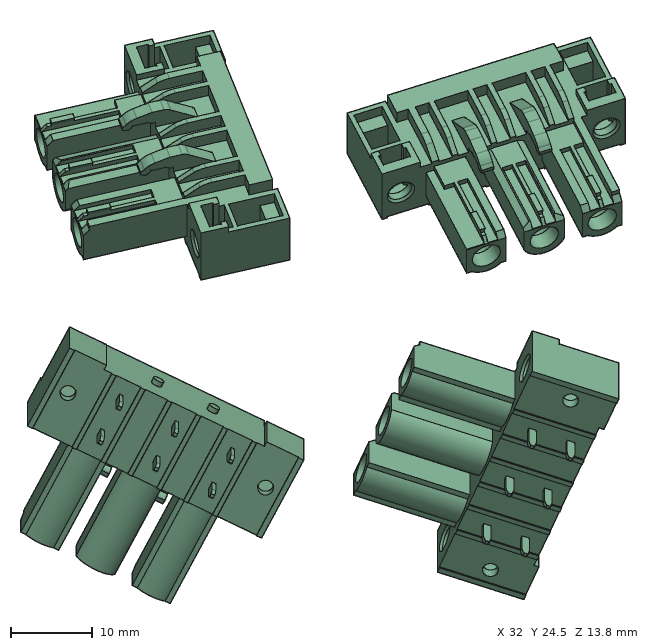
import cadquery as cq


pitch = 7.63
contact_xs = [-pitch, 0, pitch]
left_x, middle_x, right_x = contact_xs
axis_z = 4.05
overall_width = 32.05
half_width = overall_width / 2

block_half = 10.95
block_rear = 10.7
underside = 0.22
deck_z = 7.7
block_top = 9.5
bay_rear = 7.7
rib_inner = 0.9
rib_width = 0.7
first_rib_extra = 0.22
rib_flat_front = 3.45
rib_knee_y = 1.95
rib_knee_z = 9.15
rib_front_z = 7.98
rib_bulge = 0.08

lever_xs = [-pitch / 2, pitch / 2]
lever_width = 1.65
lever_top = 10.48
lever_root_y = 5.4
lever_shoulder = (1.95, 10.12)
lever_shoulder_bulge = (1.57, 10.35)
lever_crest_rear_y = 1.1
lever_crest_front_y = -0.45
lever_slope_end = (-2.37, 10.03)
lever_nose_bulge = (-3.1, 9.75)
lever_nose_end = (-3.75, 9.25)
lever_tip_y = -4.2
lever_tip_top = 8.88
lever_tip_bottom = 8.4
lever_hook = (-3.6, 8.17)
lever_hook_bulge = (-3.2, 8.4)
lever_hollow_z = 8.78
lever_hollow_front_y = -2.9
lever_hollow_rear_y = -1.05
lever_throat_bulge = (-0.55, 8.52)
lever_throat_z = 8.4

stud_diameter = 1.38
stud_z = axis_z

ear_centre = 13.52
ear_rear = 11.35
ear_raised_top = 8.65
ear_raised_depth = 3.55
cell_half = 1.85
cell_front = 4.87
cell_rear = block_rear
cell_floor = 1.6
shelf_front = 8.88
shelf_z = 6.1
drain_diameter = 1.92
drain_y = 6.0
nut_half = 1.8
nut_front = 1.3
nut_rear = 2.82
neck_half = 1.5
slot_rear = 4.33
screw_diameter = 3.05
screw_mouth = 3.6
screw_chamfer = 0.32

ear_foot_width = 0.7
foot_width = 0.6
foot_offset = 2.0

post_length = 13.2
side_post_half = 2.6
middle_post_half = 2.65
post_radius = 2.9
side_post_bottom = 1.83
pocket_floor = 6.35
post_top = 7.05
post_end_chamfer = 0.77
chamfer_flat_half = 1.73
chamfer_low_z = 6.63
pocket_start = 3.33
pocket_half = 1.55
rail_half = 0.24
coding_wall_top = deck_z
key_start = 9.0
key_end = 11.92
key_neck_z = 7.25
key_half = 0.37
bore_radius = 1.85
bore_tip_radius = 0.9
bore_straight = 2.15
bore_cone = 1.92

pin_thickness = 0.48
pin_width = 1.0
pin_tip_width = 0.42
pin_tip_z = -3.27
pin_taper_z = -2.3
pin_taper_bulge = 0.08
pin_ys = [3.2, 8.25]


def box(x0, x1, y0, y1, z0, z1):
    """A box between opposite corners."""
    return cq.Workplane("XY").box(x1 - x0, y1 - y0, z1 - z0, centered=False).translate((x0, y0, z0))


def side_plane(x):
    """A sketch plane facing +X at the given X, with coordinates (Y, Z)."""
    return cq.Workplane("YZ", origin=(x, 0, 0))


def front_plane(y):
    """A sketch plane facing -Y at the given Y, with coordinates (X, Z)."""
    return cq.Workplane("XZ", origin=(0, y, 0))


def rib(x0, x1):
    """A deck rib whose top curves and then slopes down to the front face."""
    middle_y = (rib_flat_front + rib_knee_y) / 2
    middle_z = (block_top + rib_knee_z) / 2 + rib_bulge
    return (
        side_plane(x0)
        .moveTo(0, deck_z)
        .lineTo(0, rib_front_z)
        .lineTo(rib_knee_y, rib_knee_z)
        .threePointArc((middle_y, middle_z), (rib_flat_front, block_top))
        .lineTo(bay_rear, block_top)
        .lineTo(bay_rear, deck_z)
        .close()
        .extrude(x1 - x0)
    )


def central_block():
    """The body behind the posts: a deck, a raised rear bar and a pair of ribs over each contact."""
    block = box(-block_half, block_half, 0, block_rear, underside, deck_z)
    block = block.union(box(-block_half, block_half, bay_rear, block_rear, deck_z, block_top))
    rib_outer = rib_inner + rib_width
    for x in contact_xs:
        extra = first_rib_extra if x == left_x else 0
        block = block.union(rib(x - rib_outer - extra, x - rib_inner))
        block = block.union(rib(x + rib_inner, x + rib_outer))
    return block


def lever(x):
    """A latch lever that rises from the deck, arches over the front face and ends in a hooked nose."""
    return (
        side_plane(x - lever_width / 2)
        .moveTo(0, deck_z)
        .lineTo(lever_root_y, deck_z)
        .lineTo(*lever_shoulder)
        .threePointArc(lever_shoulder_bulge, (lever_crest_rear_y, lever_top))
        .lineTo(lever_crest_front_y, lever_top)
        .lineTo(*lever_slope_end)
        .threePointArc(lever_nose_bulge, lever_nose_end)
        .lineTo(lever_tip_y, lever_tip_top)
        .lineTo(lever_tip_y, lever_tip_bottom)
        .lineTo(*lever_hook)
        .threePointArc(lever_hook_bulge, (lever_hollow_front_y, lever_hollow_z))
        .lineTo(lever_hollow_rear_y, lever_hollow_z)
        .threePointArc(lever_throat_bulge, (0, lever_throat_z))
        .close()
        .extrude(lever_width)
    )


def rear_stud(x):
    """A round stud on the rear face of the central block, level with the rear of the ears."""
    return front_plane(block_rear).center(x, stud_z).circle(stud_diameter / 2).extrude(block_rear - ear_rear)


def ear(side):
    """A mounting ear on the left (side = -1) or right (side = 1), with its cell, nut slot and holes."""
    centre = side * ear_centre
    x0, x1 = sorted((side * block_half, side * half_width))
    body = box(x0, x1, 0, ear_rear, underside, deck_z)
    body = body.union(box(x0, x1, 0, ear_raised_depth, deck_z, ear_raised_top))

    body = body.cut(box(centre - cell_half, centre + cell_half, cell_front, cell_rear, shelf_z, deck_z))
    body = body.cut(box(centre - cell_half, centre + cell_half, cell_front, shelf_front, cell_floor, deck_z))
    drain = cq.Workplane("XY").center(centre, drain_y).circle(drain_diameter / 2).extrude(deck_z)
    body = body.cut(drain)

    for half, y0, y1 in (
        (nut_half, nut_front, nut_rear),
        (neck_half, nut_rear, ear_raised_depth),
        (cell_half, ear_raised_depth, slot_rear),
    ):
        body = body.cut(box(centre - half, centre + half, y0, y1, cell_floor, ear_raised_top))

    screw_hole = front_plane(0).center(centre, axis_z).circle(screw_diameter / 2).extrude(-slot_rear)
    mouth = (
        front_plane(0)
        .center(centre, axis_z)
        .circle(screw_mouth / 2)
        .workplane(offset=-screw_chamfer)
        .circle(screw_diameter / 2)
        .loft()
    )
    return body.cut(screw_hole).cut(mouth)


def feet():
    """The ridges under the housing: one along each outer edge and a pair under each contact."""
    ridges = box(-half_width, ear_foot_width - half_width, 0, ear_rear, 0, underside)
    ridges = ridges.union(box(half_width - ear_foot_width, half_width, 0, ear_rear, 0, underside))
    for contact_x in contact_xs:
        for x in (contact_x - foot_offset, contact_x + foot_offset):
            ridges = ridges.union(box(x - foot_width / 2, x + foot_width / 2, 0, block_rear, 0, underside))
    return ridges


def post_body(x, half, bottom):
    """The straight post with its rounded belly and its chamfered upper front edge."""
    barrel = front_plane(0).center(x, axis_z).circle(post_radius).extrude(post_length)
    belly = box(x - half, x + half, -post_length, 0, axis_z - post_radius, axis_z)
    body = barrel.intersect(belly)
    upper = (
        side_plane(x - half)
        .moveTo(0, bottom)
        .lineTo(0, post_top)
        .lineTo(post_end_chamfer - post_length, post_top)
        .lineTo(-post_length, post_top - post_end_chamfer)
        .lineTo(-post_length, bottom)
        .close()
        .extrude(2 * half)
    )
    return body.union(upper)


def post_pockets(x):
    """The two open pockets in the top of a post, one on each side of its centre rail."""
    left = box(x - pocket_half, x - rail_half, -post_length, -pocket_start, pocket_floor, post_top)
    right = box(x + rail_half, x + pocket_half, -post_length, -pocket_start, pocket_floor, post_top)
    return left.union(right)


def rail_key(x):
    """The flared key standing on the centre rail of a post."""
    return (
        front_plane(-key_start)
        .moveTo(x - rail_half, post_top)
        .lineTo(x - rail_half, key_neck_z)
        .lineTo(x - key_half, deck_z)
        .lineTo(x + key_half, deck_z)
        .lineTo(x + rail_half, key_neck_z)
        .lineTo(x + rail_half, post_top)
        .close()
        .extrude(key_end - key_start)
    )


def contact_bore(x):
    """The blind contact bore: a cylinder that ends in a truncated cone."""
    cylinder = front_plane(-post_length).center(x, axis_z).circle(bore_radius).extrude(-bore_straight)
    cone = (
        front_plane(bore_straight - post_length)
        .center(x, axis_z)
        .circle(bore_radius)
        .workplane(offset=-bore_cone)
        .circle(bore_tip_radius)
        .loft()
    )
    return cylinder.union(cone)


def finished_post(body, x):
    """Cuts the pockets and the bore into a post and adds its key."""
    return body.cut(post_pockets(x)).union(rail_key(x)).cut(contact_bore(x))


def left_post():
    """A side post whose outer upper corner is lowered to the pocket floor."""
    body = post_body(left_x, side_post_half, side_post_bottom)
    outer = left_x - side_post_half
    body = body.cut(box(outer, left_x - pocket_half, -post_length, 0, pocket_floor, post_top))
    return finished_post(body, left_x)


def middle_post():
    """The middle post: round-bottomed, with both upper side edges chamfered."""
    body = post_body(middle_x, middle_post_half, axis_z)
    for side in (-1, 1):
        edge = middle_x + side * middle_post_half
        corner = (
            front_plane(0)
            .moveTo(edge, chamfer_low_z)
            .lineTo(edge, post_top)
            .lineTo(middle_x + side * chamfer_flat_half, post_top)
            .close()
            .extrude(post_length)
        )
        body = body.cut(corner)
    return finished_post(body, middle_x)


def right_post():
    """A side post with a tall coding wall along its outer edge."""
    body = post_body(right_x, side_post_half, side_post_bottom)
    outer = right_x + side_post_half
    wall_front = post_end_chamfer - post_length
    body = body.union(box(right_x + pocket_half, outer, wall_front, 0, post_top, coding_wall_top))
    return finished_post(body, right_x)


def make_housing():
    """The one-piece moulded housing."""
    body = central_block().union(ear(-1)).union(ear(1)).union(feet())
    for x in lever_xs:
        body = body.union(lever(x)).union(rear_stud(x))
    return body.union(left_post()).union(middle_post()).union(right_post())


def make_pin(x, y):
    """A flat solder pin that hangs from the underside and tapers to a blunt tip."""
    half = pin_width / 2
    tip_half = pin_tip_width / 2
    bulge_half = (half + tip_half) / 2 + pin_taper_bulge
    bulge_z = (pin_taper_z + pin_tip_z) / 2
    return (
        side_plane(x - pin_thickness / 2)
        .moveTo(y - half, underside)
        .lineTo(y - half, pin_taper_z)
        .threePointArc((y - bulge_half, bulge_z), (y - tip_half, pin_tip_z))
        .lineTo(y + tip_half, pin_tip_z)
        .threePointArc((y + bulge_half, bulge_z), (y + half, pin_taper_z))
        .lineTo(y + half, underside)
        .close()
        .extrude(pin_thickness)
    )


housing = make_housing()
pins = [make_pin(x, y).val() for x in contact_xs for y in pin_ys]

result = cq.Compound.makeCompound([housing.solids().val(), *pins])